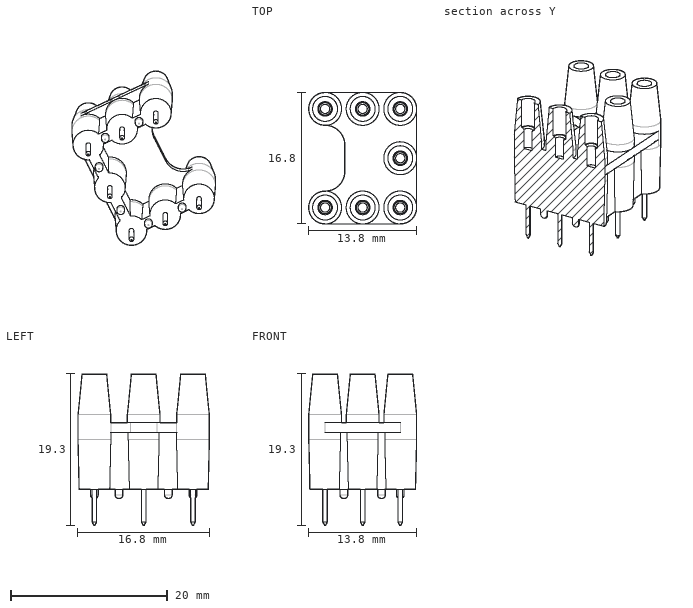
import cadquery as cq
import math

overall_x = 13.8
overall_y = 16.8
overall_z = 19.3

post_diameter = 4.2
post_top_diameter = 3.18
post_bottom_diameter = 3.92
post_bottom_z = 4.57
lower_taper_end_z = 10.92
upper_taper_start_z = 14.13

bore_diameter = 1.85
bore_depth = 3.86
contact_lead_in_diameter = 1.58
contact_diameter = 1.18
contact_lead_in_depth = 0.23
contact_depth = 2.9

pin_diameter = 0.6
pin_tip_diameter = 0.15
pin_tip_length = 0.42

plate_bottom_z = 11.87
plate_top_z = 13.1
notch_radius = 2.5

wall_thickness = 1.47
peg_diameter = 1.0
peg_length = 1.15
peg_tip_round = 0.45

post_radius = post_diameter / 2
pitch_x = (overall_x - post_diameter) / 2
pitch_y = (overall_y - post_diameter) / 2
post_centres = [(column * pitch_x, row * pitch_y) for row in (-1, 1) for column in (-1, 0, 1)]
post_centres.append((pitch_x, 0))


def make_post():
    """Turned post: straight belt with a taper above and below it."""
    return (
        cq.Workplane("XZ")
        .moveTo(0, post_bottom_z)
        .lineTo(post_bottom_diameter / 2, post_bottom_z)
        .lineTo(post_radius, lower_taper_end_z)
        .lineTo(post_radius, upper_taper_start_z)
        .lineTo(post_top_diameter / 2, overall_z)
        .lineTo(0, overall_z)
        .close()
        .revolve(360, (0, 0, 0), (0, 1, 0))
    )


def make_socket():
    """Cutter for the stepped socket: wide bore, conical lead-in and contact hole."""
    bore_floor_z = overall_z - bore_depth
    lead_in_end_z = bore_floor_z - contact_lead_in_depth
    contact_floor_z = bore_floor_z - contact_depth
    return (
        cq.Workplane("XZ")
        .moveTo(0, overall_z)
        .lineTo(bore_diameter / 2, overall_z)
        .lineTo(bore_diameter / 2, bore_floor_z)
        .lineTo(contact_lead_in_diameter / 2, bore_floor_z)
        .lineTo(contact_diameter / 2, lead_in_end_z)
        .lineTo(contact_diameter / 2, contact_floor_z)
        .lineTo(0, contact_floor_z)
        .close()
        .revolve(360, (0, 0, 0), (0, 1, 0))
    )


def make_pin():
    """Round pin with a blunt conical tip, rooted at the bottom of the post."""
    return (
        cq.Workplane("XZ")
        .lineTo(pin_tip_diameter / 2, 0)
        .lineTo(pin_diameter / 2, pin_tip_length)
        .lineTo(pin_diameter / 2, post_bottom_z)
        .lineTo(0, post_bottom_z)
        .close()
        .revolve(360, (0, 0, 0), (0, 1, 0))
    )


def make_peg():
    """Standoff peg with a rounded lower end."""
    return (
        cq.Workplane("XY", origin=(0, 0, post_bottom_z - peg_length))
        .circle(peg_diameter / 2)
        .extrude(peg_length)
        .faces("<Z")
        .edges()
        .fillet(peg_tip_round)
    )


def make_plate():
    """Plate with a rounded notch in its left side and its corners cut off inside the corner posts."""
    half_x = overall_x / 2
    half_y = overall_y / 2
    notch_mouth_y = pitch_y - post_radius
    notch_floor_x = notch_radius - pitch_x
    notch_flat_y = notch_mouth_y - notch_radius
    arc_mid_offset = notch_radius * (1 - math.cos(math.radians(45)))
    arc_mid_x = notch_floor_x - arc_mid_offset
    arc_mid_y = notch_mouth_y - arc_mid_offset
    return (
        cq.Workplane("XY", origin=(0, 0, plate_bottom_z))
        .moveTo(-pitch_x, -half_y)
        .lineTo(pitch_x, -half_y)
        .lineTo(half_x, -pitch_y)
        .lineTo(half_x, pitch_y)
        .lineTo(pitch_x, half_y)
        .lineTo(-pitch_x, half_y)
        .lineTo(-pitch_x, notch_mouth_y)
        .threePointArc((arc_mid_x, arc_mid_y), (notch_floor_x, notch_flat_y))
        .lineTo(notch_floor_x, -notch_flat_y)
        .threePointArc((arc_mid_x, -arc_mid_y), (-pitch_x, -notch_mouth_y))
        .close()
        .extrude(plate_top_z - plate_bottom_z)
    )


def make_wall(length_x, length_y, centre):
    """Upright wall from the bottom of the posts to the underside of the plate."""
    return (
        cq.Workplane("XY", origin=(*centre, post_bottom_z))
        .rect(length_x, length_y)
        .extrude(plate_bottom_z - post_bottom_z)
    )


def copies(shape, centres):
    """Copy a shape to each (x, y) centre."""
    return [shape.translate((x, y, 0)) for x, y in centres]


walls = [make_wall(2 * pitch_x, wall_thickness, (0, row * pitch_y)) for row in (-1, 1)]
walls.append(make_wall(wall_thickness, 2 * pitch_y, (pitch_x, 0)))

peg_centres = [(side * pitch_x / 2, row * pitch_y) for row in (-1, 1) for side in (-1, 1)]
peg_centres += [(pitch_x, side * pitch_y / 2) for side in (-1, 1)]

result = make_plate()
for wall in walls:
    result = result.union(wall)
for post in copies(make_post(), post_centres):
    result = result.union(post)
for attachment in copies(make_pin(), post_centres) + copies(make_peg(), peg_centres):
    result = result.union(attachment)
for socket in copies(make_socket(), post_centres):
    result = result.cut(socket)